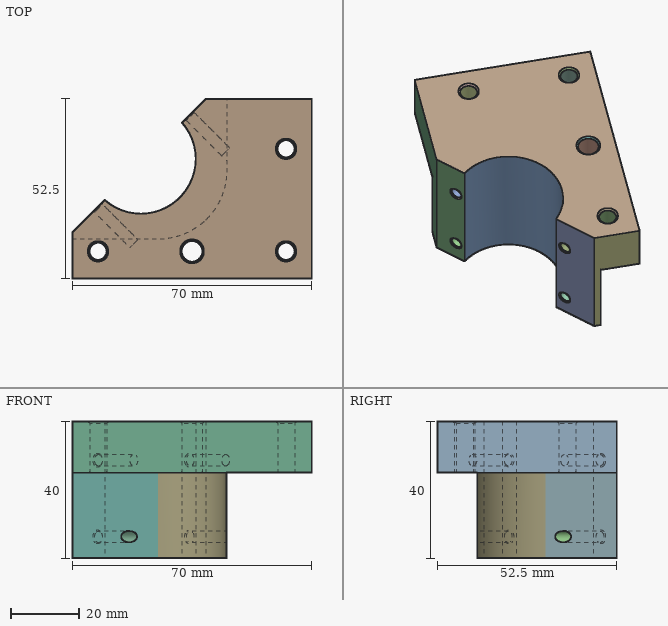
import cadquery as cq
import math

length = 70.0
width = 52.5
height = 40.0
plate_thickness = 15.0
plate_bottom = height - plate_thickness

bore_diameter = 32.0
bore_x = 20.0
bore_y = 35.0
face_gap = 1.0

block_front = 11.6
block_right = 45.1
block_corner_radius = 20.0

mount_diameter = 5.0
mount_rim_diameter = 6.0
mount_left = 7.5
mount_right = 62.45
mount_front = 8.0
mount_back = 37.95
center_diameter = 6.0
center_rim_diameter = 7.0
center_x = (mount_left + mount_right) / 2

screw_diameter = 3.3
screw_rim_diameter = 4.0
screw_offset = 19.0
screw_low = 6.3
screw_high = 28.7
screw_blind_depth = 15.0
screw_through_depth = 28.0

diagonal = math.sqrt(0.5)
face_x = bore_x + face_gap * diagonal
face_y = bore_y - face_gap * diagonal
face_intercept = face_y - face_x


def clamp_outline(front, right):
    """Rectangle with its back left corner cut off by the clamping face."""
    return [
        (0, front),
        (right, front),
        (right, width),
        (width - face_intercept, width),
        (0, face_intercept),
    ]


def rimmed_hole(mouth, inward, diameter, rim_diameter, depth):
    """Cutter for a hole with a 45 degree countersunk mouth."""
    rim = (rim_diameter - diameter) / 2
    drill = cq.Solid.makeCylinder(diameter / 2, depth, mouth, inward)
    countersink = cq.Solid.makeCone(rim_diameter / 2, diameter / 2, rim, mouth, inward)
    return cq.Workplane(drill).union(cq.Workplane(countersink))


plate = (
    cq.Workplane("XY", origin=(0, 0, plate_bottom))
    .polyline(clamp_outline(0, length))
    .close()
    .extrude(plate_thickness)
)
block = (
    cq.Workplane("XY")
    .polyline(clamp_outline(block_front, block_right))
    .close()
    .extrude(height)
    .edges(cq.selectors.NearestToPointSelector((block_right, block_front, height / 2)))
    .fillet(block_corner_radius)
)
result = plate.union(block)

bore = cq.Workplane("XY").center(bore_x, bore_y).circle(bore_diameter / 2).extrude(height)
result = result.cut(bore)

plate_holes = [
    (mount_left, mount_front, mount_diameter, mount_rim_diameter),
    (mount_right, mount_front, mount_diameter, mount_rim_diameter),
    (mount_right, mount_back, mount_diameter, mount_rim_diameter),
    (center_x, mount_front, center_diameter, center_rim_diameter),
]
down = cq.Vector(0, 0, -1)
for x, y, diameter, rim_diameter in plate_holes:
    mouth = cq.Vector(x, y, height)
    result = result.cut(rimmed_hole(mouth, down, diameter, rim_diameter, plate_thickness))

into_face = cq.Vector(diagonal, -diagonal, 0)
for side in (-1, 1):
    shift = side * screw_offset * diagonal
    for z, depth in ((screw_low, screw_through_depth), (screw_high, screw_blind_depth)):
        mouth = cq.Vector(face_x + shift, face_y + shift, z)
        result = result.cut(rimmed_hole(mouth, into_face, screw_diameter, screw_rim_diameter, depth))